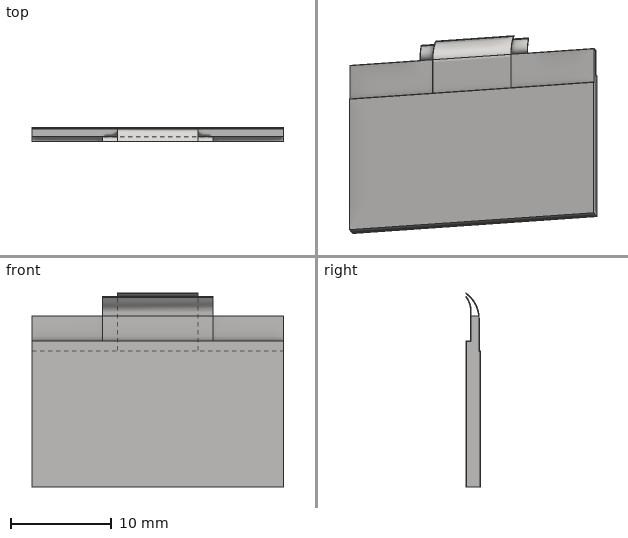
import cadquery as cq
import math


width = 25.0
depth = 1.4
front_glass_depth = 0.5
rear_cover_depth = 0.15
front_glass_height = 14.5
middle_glass_height = 17.0
rear_cover_height = 13.5

view_width = 20.0
view_height = 8.45
view_bottom = 4.0
view_depth = 0.1

film_thickness = 0.05
front_film_width = 11.0
front_film_bend_start = 17.4
front_film_radius = 2.6
rear_film_width = 8.0
rear_film_bend_start = 16.7
rear_film_top = 19.26

middle_glass_back = depth - rear_cover_depth
rear_film_back = middle_glass_back + film_thickness
rear_film_rise = rear_film_top - rear_film_bend_start
rear_film_radius = (rear_film_rise**2 + rear_film_back**2) / (2 * rear_film_back)


def plate(plate_width, y_front, y_back, z_bottom, z_top):
    """Upright plate centred on X."""
    return cq.Workplane("XY").box(
        plate_width, y_back - y_front, z_top - z_bottom, centered=(True, False, False)
    ).translate((0, y_front, z_bottom))


def curled_film(film_width, y_back, z_bottom, bend_start, outer_radius):
    """Thin film: a straight run up the glass, then an arc forward, cut off at the front plane."""
    center_y = y_back - outer_radius

    def arc_point(radius, angle):
        return center_y + radius * math.cos(angle), bend_start + radius * math.sin(angle)

    inner_radius = outer_radius - film_thickness
    outer_angle = math.acos(-center_y / outer_radius)
    inner_angle = math.acos(-center_y / inner_radius)
    profile = (
        cq.Workplane("YZ")
        .moveTo(y_back, z_bottom)
        .lineTo(y_back, bend_start)
        .threePointArc(arc_point(outer_radius, outer_angle / 2), arc_point(outer_radius, outer_angle))
        .lineTo(*arc_point(inner_radius, inner_angle))
        .threePointArc(arc_point(inner_radius, inner_angle / 2), arc_point(inner_radius, 0))
        .lineTo(y_back - film_thickness, z_bottom)
        .close()
    )
    return profile.extrude(film_width / 2, both=True)


def glass_stack():
    front_glass = plate(width, 0, front_glass_depth, 0, front_glass_height)
    middle_glass = plate(width, front_glass_depth, middle_glass_back, 0, middle_glass_height)
    rear_cover = plate(width, middle_glass_back, depth, 0, rear_cover_height)
    return front_glass.union(middle_glass).union(rear_cover)


front_film = curled_film(
    front_film_width, front_glass_depth, front_glass_height, front_film_bend_start, front_film_radius
)
rear_film = curled_film(
    rear_film_width, rear_film_back, rear_cover_height, rear_film_bend_start, rear_film_radius
)
view_area = plate(view_width, 0, view_depth, view_bottom, view_bottom + view_height)

body = glass_stack().union(front_film).union(rear_film)
result = body.cut(view_area).union(view_area, clean=False)